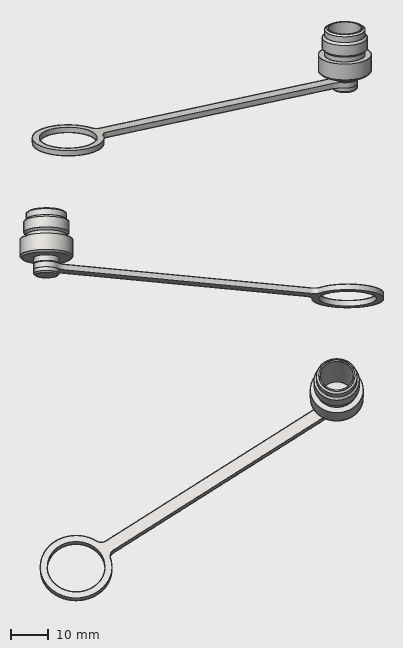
import cadquery as cq
import math

overall_length = 101.4
overall_height = 17.1

pin_radius = 3.3
pin_chamfer = 0.4
groove_radius = 2.3
groove_bottom = 1.4
groove_top = 3.1
collar_radius = 7.0
collar_bottom = 4.7
collar_top = 9.6
collar_chamfer = 0.5
barrel_radius = 5.4
band_radius = 6.0
band_bottom = 11.0
band_top = 15.1
band_chamfer = band_radius - barrel_radius
rim_chamfer_width = 0.6
rim_chamfer_height = 0.4
bore_radius = 4.4
bore_floor = 6.1

strap_thickness = 1.5
strap_half_width = 1.7
eye_radius = pin_radius
eye_fillet = 4.6
ring_outer_radius = 9.48
ring_inner_radius = 7.6
ring_fillet = 2.0
ring_y = -(overall_length - collar_radius - ring_outer_radius)


def make_cap():
    """Revolve the half section of the hollow cap and its grooved pin."""
    section = [
        (0, 0),
        (pin_radius - pin_chamfer, 0),
        (pin_radius, pin_chamfer),
        (pin_radius, groove_bottom),
        (groove_radius, groove_bottom),
        (groove_radius, groove_top),
        (pin_radius, groove_top),
        (pin_radius, collar_bottom),
        (collar_radius - collar_chamfer, collar_bottom),
        (collar_radius, collar_bottom + collar_chamfer),
        (collar_radius, collar_top),
        (barrel_radius, collar_top),
        (barrel_radius, band_bottom),
        (band_radius, band_bottom + band_chamfer),
        (band_radius, band_top - band_chamfer),
        (barrel_radius, band_top),
        (barrel_radius, overall_height - rim_chamfer_height),
        (barrel_radius - rim_chamfer_width, overall_height),
        (bore_radius, overall_height),
        (bore_radius, bore_floor),
        (0, bore_floor),
    ]
    return cq.Workplane("XZ").polyline(section).close().revolve(360, (0, 0), (0, 1))


def flare_length(disc_radius, fillet_radius):
    """Distance along the strap from a disc's centre to where its fillets meet the straight sides."""
    return math.sqrt((disc_radius + fillet_radius) ** 2 - (strap_half_width + fillet_radius) ** 2)


def make_flare(disc_radius, fillet_radius, centre_y, direction):
    """Plate joining a disc to the strap, with a concave fillet on each side."""
    length = flare_length(disc_radius, fillet_radius)
    fillet_x = strap_half_width + fillet_radius
    tangent_share = disc_radius / (disc_radius + fillet_radius)
    tangent_x = fillet_x * tangent_share
    tangent_y = centre_y + direction * length * tangent_share
    end_y = centre_y + direction * length
    half_angle = math.atan2(length, fillet_x) / 2
    middle_x = fillet_x - fillet_radius * math.cos(half_angle)
    middle_y = end_y - direction * fillet_radius * math.sin(half_angle)
    return (
        cq.Workplane("XY")
        .moveTo(0, centre_y)
        .lineTo(tangent_x, tangent_y)
        .threePointArc((middle_x, middle_y), (strap_half_width, end_y))
        .lineTo(-strap_half_width, end_y)
        .threePointArc((-middle_x, middle_y), (-tangent_x, tangent_y))
        .close()
        .extrude(strap_thickness)
    )


def make_disc(radius, centre_y):
    """Disc as thick as the strap."""
    return cq.Workplane("XY").center(0, centre_y).circle(radius).extrude(strap_thickness)


def make_strap():
    """Flat strap with an eye around the pin groove and a ring at the far end."""
    band = (
        cq.Workplane("XY")
        .center(0, ring_y / 2)
        .rect(2 * strap_half_width, -ring_y)
        .extrude(strap_thickness)
    )
    strap = (
        band.union(make_disc(eye_radius, 0))
        .union(make_flare(eye_radius, eye_fillet, 0, -1))
        .union(make_disc(ring_outer_radius, ring_y))
        .union(make_flare(ring_outer_radius, ring_fillet, ring_y, 1))
        .cut(make_disc(groove_radius, 0))
        .cut(make_disc(ring_inner_radius, ring_y))
    )
    return strap.translate((0, 0, groove_bottom))


cap = make_cap()
strap = make_strap()
result = cq.Compound.makeCompound([cap.val(), strap.val()])